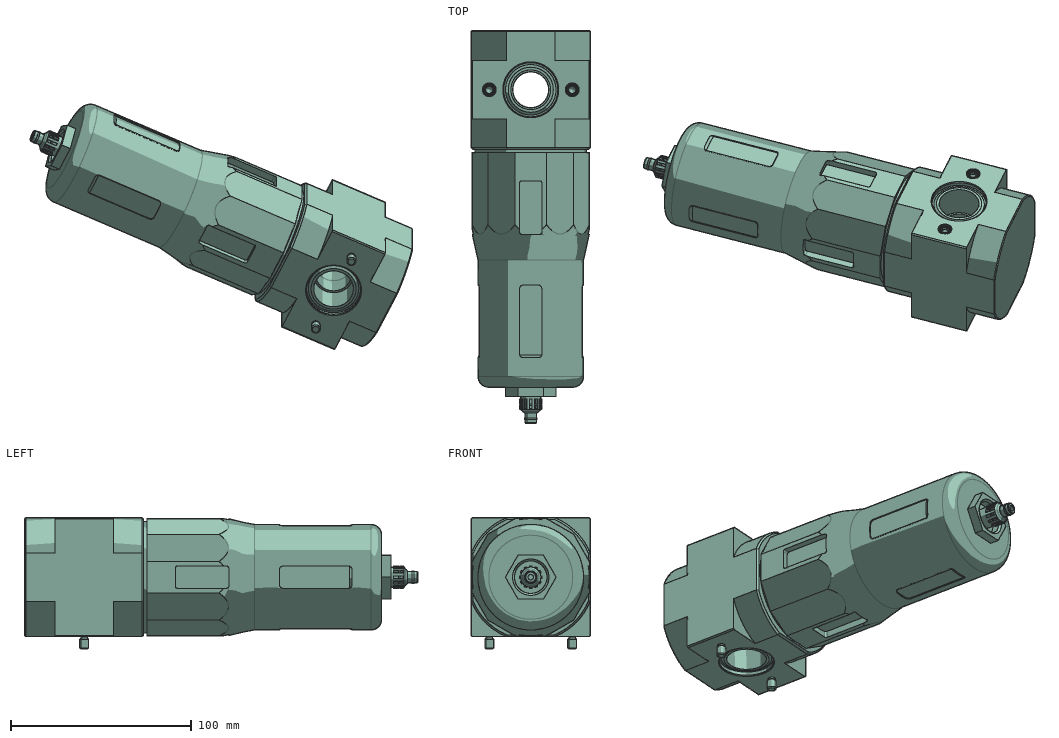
import cadquery as cq
import math


HEAD_WIDTH = 66.0
HALF_HEAD = HEAD_WIDTH / 2
BARREL_RADIUS = 35.6
BLOCK_LENGTH = 32.4
BLOCK_CHAMFER = 0.7
BACK_CHAMFER = 0.6
FRONT_CHAMFER = 1.0

PORT_RIM_DIAMETER = 31.0
PORT_RECESS_DIAMETER = 30.0
PORT_RECESS_DEPTH = 2.5
COLLAR_FOOT_DIAMETER = 28.0
COLLAR_TOP_DIAMETER = 25.0
COLLAR_TOP_DEPTH = 1.9
PORT_ENTRY_DIAMETER = 22.0
PORT_ENTRY_DEPTH = 20.0
PORT_BORE = 19.8

NECK_DIAMETER = 62.0
GUARD_SIDES = 12
GUARD_ACROSS_FLATS = 65.0
GUARD_BACK_Y = -34.8
TAPER_START_Y = -74.8
TAPER_END_Y = -94.5
BOWL_RADIUS = 29.3
BOWL_END_Y = -165.0
BOWL_FILLET = 6.0
GUARD_CORNER_RADIUS = GUARD_ACROSS_FLATS / 2 / math.cos(math.pi / GUARD_SIDES)

WINDOW_COUNT = 4
WINDOW_WIDTH = 12.3
GUARD_WINDOW_BACK_Y = -50.5
GUARD_WINDOW_FRONT_Y = -80.2
GUARD_WINDOW_CORNER = 1.2
BOWL_WINDOW_BACK_Y = -108.3
BOWL_WINDOW_FRONT_Y = -148.6
BOWL_WINDOW_CORNER = 2.0
BOWL_WINDOW_DEPTH = 0.7
BOWL_WINDOW_RAMP = 1.6

HEX_ACROSS_FLATS = 24.4
HEX_HEIGHT = 5.2
HEX_FRONT_Y = BOWL_END_Y - HEX_HEIGHT
RECESS_DIAMETER = 18.0
RECESS_DEPTH = 5.2
RECESS_CHAMFER = 1.1

STEM_DIAMETER = 9.0
STEM_DEPTH = 6.0
CORE_DIAMETER = 11.2
CORE_FRONT_Y = -177.4
CONE_END_Y = -178.3
COLLAR_DIAMETER = 7.1
COLLAR_FRONT_Y = -179.2
TUBE_DIAMETER = 6.4
BARB_DIAMETER = 6.8
BARB_BACK_Y = -181.9
BARB_FRONT_Y = -182.9
TIP_Y = -185.0
TIP_DIAMETER = 5.6
DRAIN_BORE = 3.0
DRAIN_BORE_DEPTH = 7.0
RIB_COUNT = 12
RIB_WIDTH = 1.3
RIB_OUTER_DIAMETER = 12.6
RIB_BACK_Y = -171.4
RIB_CHAMFER = 0.6
RIB_NOTCH_Y = -174.7
RIB_NOTCH_WIDTH = 0.8
RIB_NOTCH_DIAMETER = 12.0

SCREW_X = 23.0
SCREW_HEAD_DIAMETER = 7.0
SCREW_HEAD_HEIGHT = 5.0
SCREW_HEAD_TOP_Z = HALF_HEAD - 0.5
SCREW_HEAD_CHAMFER = 0.5
SOCKET_ACROSS_FLATS = 4.0
SOCKET_DEPTH = 2.0
SOCKET_LEAD_IN = 4.8
SHANK_DIAMETER = 3.7
THREAD_DIAMETER = 5.0
THREAD_TOP_Z = -HALF_HEAD - 0.8
SCREW_TIP_Z = -39.8
THREAD_CHAMFER = (THREAD_DIAMETER - SHANK_DIAMETER) / 2
SCREW_COUNTERBORE = 7.1
COUNTERBORE_MOUTH = 7.6
SCREW_HOLE = 4.13
CLEAR = 1.0


def cylinder_y(radius, back_y, front_y):
    """Cylinder on the bowl axis from back_y down to front_y."""
    return cq.Workplane("XZ", origin=(0, back_y, 0)).circle(radius).extrude(back_y - front_y)


def cone(start_radius, end_radius, start, direction):
    """Cone of 45 degrees that narrows from its start along the given direction."""
    height = start_radius - end_radius
    solid = cq.Solid.makeCone(start_radius, end_radius, height, cq.Vector(*start), cq.Vector(*direction))
    return cq.Workplane(solid)


def hexagon_diameter(across_flats):
    return across_flats / math.cos(math.pi / 6)


def make_head():
    barrel = cylinder_y(BARREL_RADIUS, HALF_HEAD, -HALF_HEAD)
    barrel = barrel.intersect(cq.Workplane().box(HEAD_WIDTH, HEAD_WIDTH, HEAD_WIDTH))
    barrel = barrel.faces(">Y").edges().chamfer(BACK_CHAMFER)
    barrel = barrel.faces("<Y").edges().chamfer(FRONT_CHAMFER)
    block = cq.Workplane().box(HEAD_WIDTH, BLOCK_LENGTH, HEAD_WIDTH)
    block = block.edges("|Y").chamfer(BLOCK_CHAMFER)
    return barrel.union(block)


def make_guard_and_bowl():
    neck = cylinder_y(NECK_DIAMETER / 2, -HALF_HEAD + CLEAR, GUARD_BACK_Y - CLEAR)
    guard = (
        cq.Workplane("XZ", origin=(0, GUARD_BACK_Y, 0))
        .transformed(rotate=(0, 0, 180 / GUARD_SIDES))
        .polygon(GUARD_SIDES, 2 * GUARD_CORNER_RADIUS)
        .extrude(GUARD_BACK_Y - BOWL_END_Y)
    )
    envelope = (
        cq.Workplane("XY")
        .moveTo(0, GUARD_BACK_Y)
        .lineTo(GUARD_CORNER_RADIUS, GUARD_BACK_Y)
        .lineTo(GUARD_CORNER_RADIUS, TAPER_START_Y)
        .lineTo(BOWL_RADIUS, TAPER_END_Y)
        .lineTo(BOWL_RADIUS, BOWL_END_Y + BOWL_FILLET)
        .radiusArc((BOWL_RADIUS - BOWL_FILLET, BOWL_END_Y), BOWL_FILLET)
        .lineTo(0, BOWL_END_Y)
        .close()
        .revolve(360, (0, 0, 0), (0, 1, 0))
    )
    return guard.intersect(envelope).union(neck)


def window_prism(back_y, front_y, corner):
    """Upright prism with the rounded outline of one window."""
    return (
        cq.Workplane("XY", origin=(0, (back_y + front_y) / 2, 0))
        .rect(WINDOW_WIDTH, back_y - front_y)
        .extrude(HALF_HEAD + CLEAR)
        .edges("|Z")
        .fillet(corner)
    )


def make_window_cutters():
    """Guard and bowl window of the +Z side, both with a round floor."""
    guard_floor = cylinder_y(BOWL_RADIUS, GUARD_WINDOW_BACK_Y + CLEAR, GUARD_WINDOW_FRONT_Y - CLEAR)
    guard_window = window_prism(GUARD_WINDOW_BACK_Y, GUARD_WINDOW_FRONT_Y, GUARD_WINDOW_CORNER)
    floor_radius = BOWL_RADIUS - BOWL_WINDOW_DEPTH
    bowl_floor = (
        cq.Workplane("XY")
        .moveTo(0, BOWL_WINDOW_BACK_Y + CLEAR)
        .lineTo(floor_radius, BOWL_WINDOW_BACK_Y + CLEAR)
        .lineTo(floor_radius, BOWL_WINDOW_FRONT_Y + BOWL_WINDOW_RAMP)
        .lineTo(BOWL_RADIUS, BOWL_WINDOW_FRONT_Y)
        .lineTo(0, BOWL_WINDOW_FRONT_Y)
        .close()
        .revolve(360, (0, 0, 0), (0, 1, 0))
    )
    bowl_window = window_prism(BOWL_WINDOW_BACK_Y, BOWL_WINDOW_FRONT_Y, BOWL_WINDOW_CORNER)
    return [guard_window.cut(guard_floor), bowl_window.cut(bowl_floor)]


def make_drain_seat():
    """Hexagon on the end of the bowl."""
    return (
        cq.Workplane("XZ", origin=(0, BOWL_END_Y + CLEAR, 0))
        .polygon(6, hexagon_diameter(HEX_ACROSS_FLATS))
        .extrude(HEX_HEIGHT + CLEAR)
    )


def make_drain_recess():
    floor_y = HEX_FRONT_Y + RECESS_DEPTH
    recess = cylinder_y(RECESS_DIAMETER / 2, floor_y, HEX_FRONT_Y)
    mouth_radius = RECESS_DIAMETER / 2 + RECESS_CHAMFER
    mouth = cone(mouth_radius, RECESS_DIAMETER / 2, (0, HEX_FRONT_Y, 0), (0, 1, 0))
    stem_hole = cylinder_y(STEM_DIAMETER / 2, floor_y + STEM_DEPTH, floor_y)
    return recess.union(mouth).union(stem_hole)


def make_port_cutter():
    """Mouth of the upper port, from the head face down to the through bore."""
    rim_radius = PORT_RIM_DIAMETER / 2
    recess_radius = PORT_RECESS_DIAMETER / 2
    profile = [
        (0, HALF_HEAD),
        (rim_radius, HALF_HEAD),
        (recess_radius, HALF_HEAD - (rim_radius - recess_radius)),
        (recess_radius, HALF_HEAD - PORT_RECESS_DEPTH),
        (COLLAR_FOOT_DIAMETER / 2, HALF_HEAD - PORT_RECESS_DEPTH),
        (COLLAR_TOP_DIAMETER / 2, HALF_HEAD - COLLAR_TOP_DEPTH),
        (PORT_ENTRY_DIAMETER / 2, HALF_HEAD - COLLAR_TOP_DEPTH),
        (PORT_ENTRY_DIAMETER / 2, HALF_HEAD - PORT_ENTRY_DEPTH),
        (0, HALF_HEAD - PORT_ENTRY_DEPTH),
    ]
    return cq.Workplane("XZ").polyline(profile).close().revolve(360, (0, 0, 0), (0, 1, 0))


def make_screw_hole(x):
    hole = cq.Workplane("XY", origin=(x, 0, -HALF_HEAD)).circle(SCREW_HOLE / 2).extrude(HEAD_WIDTH)
    head_bottom = SCREW_HEAD_TOP_Z - SCREW_HEAD_HEIGHT
    counterbore = cq.Workplane("XY", origin=(x, 0, head_bottom)).circle(SCREW_COUNTERBORE / 2)
    counterbore = counterbore.extrude(HALF_HEAD - head_bottom)
    mouth = cone(COUNTERBORE_MOUTH / 2, SCREW_COUNTERBORE / 2, (x, 0, HALF_HEAD), (0, 0, -1))
    return hole.union(counterbore).union(mouth)


def make_filter_body():
    body = make_head().union(make_guard_and_bowl()).union(make_drain_seat())
    for cutter in make_window_cutters():
        for i in range(WINDOW_COUNT):
            body = body.cut(cutter.rotate((0, 0, 0), (0, 1, 0), i * 360 / WINDOW_COUNT))
    body = body.cut(make_drain_recess())
    port = make_port_cutter()
    body = body.cut(port).cut(port.mirror("XY"))
    body = body.cut(cq.Workplane().circle(PORT_BORE / 2).extrude(HALF_HEAD, both=True))
    for x in (-SCREW_X, SCREW_X):
        body = body.cut(make_screw_hole(x))
    return body


def make_drain_valve():
    floor_y = HEX_FRONT_Y + RECESS_DEPTH
    tip_chamfer = (TUBE_DIAMETER - TIP_DIAMETER) / 2
    profile = [
        (0, floor_y + STEM_DEPTH),
        (STEM_DIAMETER / 2, floor_y + STEM_DEPTH),
        (STEM_DIAMETER / 2, floor_y),
        (CORE_DIAMETER / 2, floor_y),
        (CORE_DIAMETER / 2, CORE_FRONT_Y),
        (STEM_DIAMETER / 2, CONE_END_Y),
        (COLLAR_DIAMETER / 2, COLLAR_FRONT_Y),
        (TUBE_DIAMETER / 2, COLLAR_FRONT_Y),
        (TUBE_DIAMETER / 2, BARB_BACK_Y),
        (BARB_DIAMETER / 2, BARB_BACK_Y),
        (BARB_DIAMETER / 2, BARB_FRONT_Y),
        (TUBE_DIAMETER / 2, BARB_FRONT_Y),
        (TUBE_DIAMETER / 2, TIP_Y + tip_chamfer),
        (TIP_DIAMETER / 2, TIP_Y),
        (0, TIP_Y),
    ]
    valve = cq.Workplane("XY").polyline(profile).close().revolve(360, (0, 0, 0), (0, 1, 0))
    rib_limit = cylinder_y(RIB_OUTER_DIAMETER / 2, RIB_BACK_Y, CORE_FRONT_Y)
    rib_limit = rib_limit.faces("<Y").edges().chamfer(RIB_CHAMFER)
    notch_back_y = RIB_NOTCH_Y + RIB_NOTCH_WIDTH / 2
    notch_front_y = RIB_NOTCH_Y - RIB_NOTCH_WIDTH / 2
    notch = cylinder_y(RIB_OUTER_DIAMETER / 2, notch_back_y, notch_front_y)
    rib_limit = rib_limit.cut(notch.cut(cylinder_y(RIB_NOTCH_DIAMETER / 2, notch_back_y, notch_front_y)))
    rib = (
        cq.Workplane("XZ", origin=(0, RIB_BACK_Y, 0))
        .rect(RIB_WIDTH, RIB_OUTER_DIAMETER)
        .extrude(RIB_BACK_Y - CORE_FRONT_Y)
        .intersect(rib_limit)
    )
    for i in range(RIB_COUNT // 2):
        valve = valve.union(rib.rotate((0, 0, 0), (0, 1, 0), i * 360 / RIB_COUNT))
    return valve.cut(cylinder_y(DRAIN_BORE / 2, TIP_Y + DRAIN_BORE_DEPTH, TIP_Y))


def make_screw(x):
    head_bottom = SCREW_HEAD_TOP_Z - SCREW_HEAD_HEIGHT
    head = cq.Workplane("XY", origin=(x, 0, head_bottom)).circle(SCREW_HEAD_DIAMETER / 2)
    head = head.extrude(SCREW_HEAD_HEIGHT).faces(">Z").edges().chamfer(SCREW_HEAD_CHAMFER)
    socket = cq.Workplane("XY", origin=(x, 0, SCREW_HEAD_TOP_Z))
    socket = socket.polygon(6, hexagon_diameter(SOCKET_ACROSS_FLATS)).extrude(-SOCKET_DEPTH)
    socket_radius = SOCKET_ACROSS_FLATS / 2
    socket_floor_z = SCREW_HEAD_TOP_Z - SOCKET_DEPTH
    socket_tip = cone(socket_radius, 0, (x, 0, socket_floor_z), (0, 0, -1))
    lead_in = cone(SOCKET_LEAD_IN / 2, socket_radius, (x, 0, SCREW_HEAD_TOP_Z), (0, 0, -1))
    socket = socket.union(socket_tip).union(lead_in)
    shank = cq.Workplane("XY", origin=(x, 0, THREAD_TOP_Z)).circle(SHANK_DIAMETER / 2)
    shank = shank.extrude(head_bottom - THREAD_TOP_Z)
    thread = cq.Workplane("XY", origin=(x, 0, SCREW_TIP_Z)).circle(THREAD_DIAMETER / 2)
    thread = thread.extrude(THREAD_TOP_Z - SCREW_TIP_Z).faces("<Z or >Z").chamfer(THREAD_CHAMFER)
    return head.cut(socket).union(shank).union(thread)


filter_body = make_filter_body()
drain_valve = make_drain_valve()
screws = [make_screw(x) for x in (-SCREW_X, SCREW_X)]

result = cq.Compound.makeCompound([filter_body.val(), drain_valve.val(), *[s.val() for s in screws]])